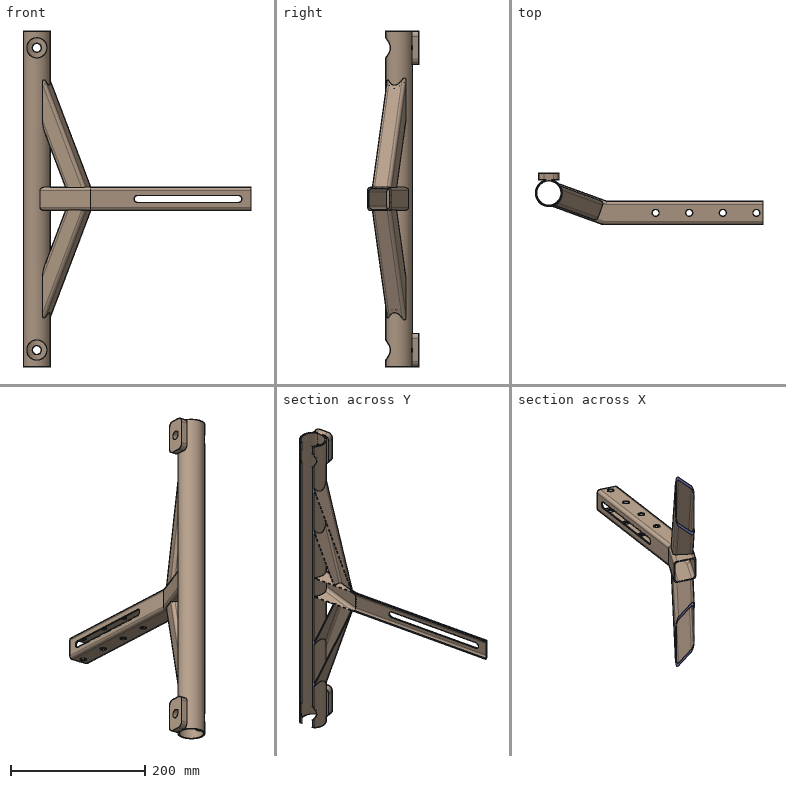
import cadquery as cq
import math

wall = 2.0
tube_length = 500
tube_diameter = 40

pad_height = 50
pad_width = 30.5
pad_thickness = 10
pad_corner_radius = 8.0
pad_overlap = 0.5
pad_back = tube_diameter / 2 - pad_overlap + pad_thickness
pad_hole_diameter = 13.0
access_hole_diameter = 30
mount_hole_heights = [side * (tube_length - pad_height) / 2 for side in (-1, 1)]

arm_size = 35
arm_corner_radius = 5
arm_inner_radius = 5
arm_end = 319.0
arm_axis_y = -29.5
bend_x = 83.0
bend_angle = 20

slot_end_gap = 14.0
slot_length = 160
slot_width = 10
hole_diameter = 10
hole_count = 4
hole_pitch = 50
hole_end_gap = 10

brace_size = 30
brace_corner_radius = 5
brace_inner_radius = brace_corner_radius - wall
brace_lean = 22
brace_axis_distance = 72.5

turn = math.radians(bend_angle)
lean = math.radians(brace_lean)
along_leg = cq.Vector(math.cos(turn), -math.sin(turn), 0)
leg_start = cq.Vector(0, arm_axis_y + bend_x * math.tan(turn), 0)


def rounded_square(size, corner_radius):
    return cq.Sketch().rect(size, size).vertices().fillet(corner_radius)


def upright_bar(diameter):
    """Cylinder of the full upright length, with its seam on the -X side."""
    foot = cq.Plane(origin=(0, 0, -tube_length / 2), xDir=(-1, 0, 0), normal=(0, 0, 1))
    return cq.Workplane(foot).circle(diameter / 2).extrude(tube_length)


def arm_bar(size, corner_radius):
    """Solid bar following the bent arm, with a mitred bend."""
    path = cq.Workplane("XY").polyline(
        [(leg_start.x, leg_start.y), (bend_x, arm_axis_y), (arm_end, arm_axis_y)]
    )
    start = cq.Plane(origin=leg_start, xDir=(0, 0, 1), normal=along_leg)
    section = rounded_square(size, corner_radius)
    return cq.Workplane(start).placeSketch(section).sweep(path, transition="right")


def brace_bar(size, corner_radius, side):
    """Solid bar in the plane of the leg, from the leg axis to the upright axis."""
    up = cq.Vector(0, 0, side)
    foot = leg_start + along_leg * brace_axis_distance
    direction = up * math.cos(lean) - along_leg * math.sin(lean)
    across = along_leg * math.cos(lean) + up * math.sin(lean)
    start = cq.Plane(origin=foot, xDir=across, normal=direction)
    length = brace_axis_distance / math.sin(lean)
    return cq.Workplane(start).placeSketch(rounded_square(size, corner_radius)).extrude(length)


def mounting_pad(height):
    """Rounded plate slightly sunk into the back of the upright."""
    section = cq.Sketch().rect(pad_width, pad_height).vertices().fillet(pad_corner_radius)
    return cq.Workplane("XZ", origin=(0, pad_back, height)).placeSketch(section).extrude(pad_thickness)


arm_solid = arm_bar(arm_size, arm_corner_radius)
arm_hollow = arm_bar(arm_size - 2 * wall, arm_inner_radius)
slot = (
    cq.Workplane("XZ", origin=(arm_end - slot_end_gap - slot_length / 2, arm_axis_y, 0))
    .slot2D(slot_length, slot_width)
    .extrude(arm_size, both=True)
)
hole_places = [(arm_end - hole_end_gap - i * hole_pitch, arm_axis_y) for i in range(hole_count)]
arm_holes = (
    cq.Workplane("XY").pushPoints(hole_places).circle(hole_diameter / 2).extrude(arm_size, both=True)
)
frame = arm_solid.cut(arm_hollow).cut(slot).cut(arm_holes)

for side in (-1, 1):
    brace = brace_bar(brace_size, brace_corner_radius, side)
    brace_hollow = brace_bar(brace_size - 2 * wall, brace_inner_radius, side)
    frame = frame.union(brace.cut(brace_hollow).cut(arm_solid))

for height in mount_hole_heights:
    frame = frame.union(mounting_pad(height))

upright_solid = upright_bar(tube_diameter)
upright = upright_solid.cut(upright_bar(tube_diameter - 2 * wall))
bracket = frame.cut(upright_solid).union(upright)

mount_places = cq.Workplane("XZ").pushPoints([(0, height) for height in mount_hole_heights])
access_holes = mount_places.circle(access_hole_diameter / 2).extrude(tube_diameter)
pad_holes = mount_places.circle(pad_hole_diameter / 2).extrude(-pad_back)
result = bracket.cut(access_holes).cut(pad_holes)